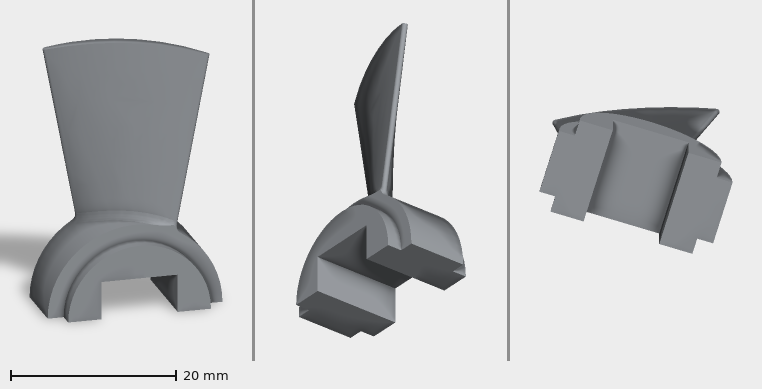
import cadquery as cq
import math

hub_diameter = 22.0
hub_radius = hub_diameter / 2
hub_width = 8.0
collar_radius = 9.0
overall_width = 12.0
channel_width = 9.6
channel_height = 4.8

tip_radius = 33.3
blade_half_x = 3.9
edge_radius = 0.35
root_z = 8.32
root_half_y = 5.0
root_half_thickness = 1.43
top_z = 33.63
top_half_y = 9.82
top_half_thickness = 0.75
root_fillet = 1.0


def half_cylinder(radius, width):
    """Upper half of a cylinder along X, centred on the origin."""
    return (
        cq.Workplane("YZ")
        .workplane(offset=-width / 2)
        .moveTo(radius, 0)
        .threePointArc((0, radius), (-radius, 0))
        .close()
        .extrude(width)
    )


def blade_section(z, half_y, half_thickness):
    """Lens-shaped wire at height z, with round ends tangent to both flanks."""
    end_x = blade_half_x - edge_radius
    end_y = half_y - edge_radius
    end_distance = math.hypot(end_x, end_y)
    chord_angle = math.degrees(math.atan2(end_y, end_x))

    flank_radius = (end_distance**2 + half_thickness**2 - edge_radius**2) / (
        2 * (half_thickness - edge_radius)
    )
    flank_offset = flank_radius - half_thickness
    edge_scale = edge_radius / (flank_radius - edge_radius)
    tangent_u = end_distance * (1 + edge_scale)
    tangent_v = flank_offset * edge_scale
    end_u = end_distance + edge_radius

    plane = cq.Plane(origin=(0, 0, z)).rotated((0, 0, chord_angle))
    return (
        cq.Workplane(plane)
        .moveTo(-tangent_u, tangent_v)
        .threePointArc((0, half_thickness), (tangent_u, tangent_v))
        .threePointArc((end_u, 0), (tangent_u, -tangent_v))
        .threePointArc((0, -half_thickness), (-tangent_u, -tangent_v))
        .threePointArc((-end_u, 0), (-tangent_u, tangent_v))
        .close()
        .val()
    )


root = blade_section(root_z, root_half_y, root_half_thickness)
top = blade_section(top_z, top_half_y, top_half_thickness)
blade = cq.Workplane(cq.Solid.makeLoft([root, top], True))
blade = blade.intersect(half_cylinder(tip_radius, overall_width))

bladed_hub = half_cylinder(hub_radius, overall_width).union(blade)
root_box = cq.selectors.BoxSelector(
    (-hub_width / 2, -hub_radius, root_z),
    (hub_width / 2, hub_radius, hub_radius + root_fillet),
)
bladed_hub = bladed_hub.edges(root_box).fillet(root_fillet)
bladed_hub = bladed_hub.intersect(half_cylinder(2 * tip_radius, hub_width))

channel = cq.Workplane("XY").box(overall_width, channel_width, 2 * channel_height)
result = bladed_hub.union(half_cylinder(collar_radius, overall_width)).cut(channel)